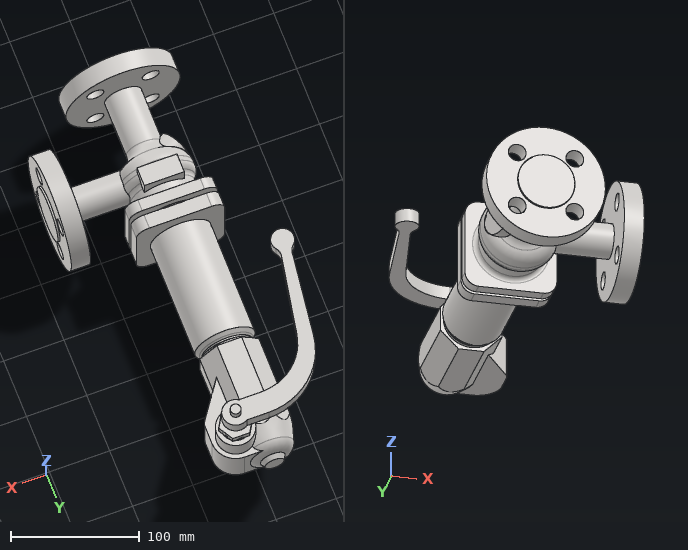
import cadquery as cq
import math


FLANGE_RADIUS = 47.5
FLANGE_THICKNESS = 16.0
FACE_RADIUS = 22.7
FACE_HEIGHT = 1.7
BOLT_CIRCLE_RADIUS = 32.5
BOLT_HOLE_DIAMETER = 14.0
BOLT_COUNT = 4

INLET_PIPE_RADIUS = 15.5
OUTLET_PIPE_RADIUS = 14.0
OUTLET_REACH = 90.0
OUTLET_Y = OUTLET_REACH
BULGE_RADIUS = 31.5
BULGE_LOWER_Y = 89.7
BULGE_UPPER_Y = 94.0
BULGE_ROUND = 14.5
FLARE_ROUND = 12.2
SHOULDER_SHARE = 0.6
THROAT_RADIUS = 27.0
THROAT_LOWER_Y = 104.5
THROAT_UPPER_Y = 114.0
COLLAR_RADIUS = 30.7

SQUARE_SIDE = 73.3
SQUARE_CORNER = 10.8
BODY_SQUARE_Y = 118.0
BODY_SQUARE_THICKNESS = 9.8
LOWER_GASKET_RADIUS = 29.5
UPPER_GASKET_RADIUS = 31.5
GASKET_THICKNESS = 1.92
BONNET_SQUARE_THICKNESS = 12.0

TUBE_RADIUS = 25.0
TUBE_CHAMFER_Y = 240.5
TUBE_TOP_Y = 243.5
NECK_RADIUS = 22.5
GROOVE_RADIUS = 21.0
GROOVE_LOWER_Y = 245.0
GROOVE_UPPER_Y = 247.0

CAP_Y = 250.0
CAP_ACROSS_FLATS = 49.2
CAP_SIDES = 8
CONE_BASE_RADIUS = 28.0
CONE_BASE_Y = 312.7
CONE_TOP_RADIUS = 20.5
CONE_TOP_Y = 337.0
DOME_Y = 344.8
TIP_TOP_RADIUS = 8.0
TOTAL_LENGTH = 349.0

SHAFT_X = 22.5
SHAFT_Y = 322.5
BRACKET_ROUND = 19.5
BRACKET_HALF_HEIGHT = 16.0
BRACKET_SIDE_Y = 304.5
BRACKET_FOOT_X = 18.5
BRACKET_FOOT_Y = 270.8
BRACKET_BEND = 10.5
BOSS_RADIUS = 15.7
BOSS_TOP_Z = 32.8
GLAND_RADIUS = 11.5
NUT_BOTTOM_Z = 36.5
NUT_TOP_Z = 42.2
NUT_ACROSS_FLATS = 24.5
NUT_SIDES = 6
SHAFT_RADIUS = 4.2
SHAFT_TOP_Z = 68.0

LEVER_BOTTOM_Z = 50.3
LEVER_THICKNESS = 11.0
LEVER_HUB_RADIUS = 10.8
LEVER_BAR_WIDTH = 18.0
LEVER_BEND_X = -1.7
LEVER_OUTER_BEND = 56.2
LEVER_INNER_BEND = 44.5
LEVER_OUTER_ANGLE = 7.5
LEVER_INNER_ANGLE = 10.5
KNOB_X = -63.5
KNOB_Y = 199.0
KNOB_RADIUS = 9.5
KNOB_BLEND = 9.0

DRAIN_RADIUS = 13.5
DRAIN_TILT = 30.0
DRAIN_END_X = -23.0
DRAIN_END_Y = 71.0
PLATE_WIDTH = 33.0
PLATE_LOWER_Y = 91.8
PLATE_UPPER_Y = 108.0
PLATE_BOTTOM_Z = 20.0
PLATE_TOP_Z = 35.0


def disc(radius, start_y, end_y):
    """Cylinder on the valve axis between two Y positions."""
    return cq.Workplane("XZ", origin=(0, start_y, 0)).circle(radius).extrude(start_y - end_y)


def pillar(radius, bottom_z, top_z):
    """Cylinder on the lever shaft axis between two heights."""
    base = cq.Workplane("XY", origin=(SHAFT_X, SHAFT_Y, bottom_z))
    return base.circle(radius).extrude(top_z - bottom_z)


def pipe_flange(face_center, inward):
    """Raised-face flange whose sealing face is at face_center, growing along inward."""
    face = cq.Workplane(cq.Plane(origin=face_center, xDir=(0, 0, 1), normal=inward))
    back = face.workplane(offset=FACE_HEIGHT)
    plate = back.circle(FLANGE_RADIUS).extrude(FLANGE_THICKNESS)
    holes = (
        back.polarArray(BOLT_CIRCLE_RADIUS, 180 / BOLT_COUNT, 360, BOLT_COUNT)
        .circle(BOLT_HOLE_DIAMETER / 2)
        .extrude(FLANGE_THICKNESS)
    )
    return plate.cut(holes).union(face.circle(FACE_RADIUS).extrude(FACE_HEIGHT))


def turned_body():
    """Inlet pipe, bulged chamber and throat, turned about the valve axis."""
    bulge_center_x = BULGE_RADIUS - BULGE_ROUND
    flare_center_x = INLET_PIPE_RADIUS + FLARE_ROUND
    center_gap = BULGE_ROUND + FLARE_ROUND
    center_dx = flare_center_x - bulge_center_x
    center_dy = math.sqrt(center_gap**2 - center_dx**2)
    flare_y = BULGE_LOWER_Y - center_dy
    share = BULGE_ROUND / center_gap
    meet = (bulge_center_x + share * center_dx, BULGE_LOWER_Y - share * center_dy)
    shoulder = (
        BULGE_RADIUS + SHOULDER_SHARE * (THROAT_RADIUS - BULGE_RADIUS),
        BULGE_UPPER_Y + SHOULDER_SHARE * (THROAT_LOWER_Y - BULGE_UPPER_Y),
    )
    profile = (
        cq.Workplane("XY")
        .moveTo(0, FACE_HEIGHT)
        .lineTo(INLET_PIPE_RADIUS, FACE_HEIGHT)
        .lineTo(INLET_PIPE_RADIUS, flare_y)
        .tangentArcPoint(meet, relative=False)
        .tangentArcPoint((BULGE_RADIUS, BULGE_LOWER_Y), relative=False)
        .lineTo(BULGE_RADIUS, BULGE_UPPER_Y)
        .tangentArcPoint(shoulder, relative=False)
        .tangentArcPoint((THROAT_RADIUS, THROAT_LOWER_Y), relative=False)
        .lineTo(THROAT_RADIUS, THROAT_UPPER_Y)
        .tangentArcPoint((COLLAR_RADIUS, BODY_SQUARE_Y), relative=False)
        .lineTo(0, BODY_SQUARE_Y)
        .close()
    )
    return profile.revolve(360, (0, 0), (0, 1))


def outlet():
    """Side pipe and flange along +X."""
    pipe_length = OUTLET_REACH - FACE_HEIGHT
    pipe = cq.Workplane("YZ", origin=(0, OUTLET_Y, 0)).circle(OUTLET_PIPE_RADIUS).extrude(pipe_length)
    return pipe.union(pipe_flange((OUTLET_REACH, OUTLET_Y, 0), (-1, 0, 0)))


def drain_boss():
    """Tilted plain boss on the lower -X side of the bulge, ending on the valve axis."""
    tilt = math.radians(DRAIN_TILT)
    inward = (math.cos(tilt), math.sin(tilt), 0)
    end = cq.Plane(origin=(DRAIN_END_X, DRAIN_END_Y, 0), xDir=(0, 0, 1), normal=inward)
    return cq.Workplane(end).circle(DRAIN_RADIUS).extrude(-DRAIN_END_X / math.cos(tilt))


def name_plate():
    """Raised rectangular pad on top of the body."""
    corner = (-PLATE_WIDTH / 2, PLATE_LOWER_Y, PLATE_BOTTOM_Z)
    plate_length = PLATE_UPPER_Y - PLATE_LOWER_Y
    plate_height = PLATE_TOP_Z - PLATE_BOTTOM_Z
    return cq.Workplane("XY", origin=corner).box(PLATE_WIDTH, plate_length, plate_height, centered=False)


def square_flange(start_y, thickness):
    """Square clamp plate with rounded corners."""
    plate = cq.Workplane("XZ", origin=(0, start_y, 0)).rect(SQUARE_SIDE, SQUARE_SIDE).extrude(-thickness)
    return plate.edges("|Y").fillet(SQUARE_CORNER)


def bonnet(start_y):
    """Tube with a chamfered end and the grooved neck that carries the cap."""
    profile = cq.Workplane("XY").polyline(
        [
            (0, start_y),
            (TUBE_RADIUS, start_y),
            (TUBE_RADIUS, TUBE_CHAMFER_Y),
            (NECK_RADIUS, TUBE_TOP_Y),
            (GROOVE_RADIUS, GROOVE_LOWER_Y),
            (GROOVE_RADIUS, GROOVE_UPPER_Y),
            (NECK_RADIUS, GROOVE_UPPER_Y),
            (NECK_RADIUS, CAP_Y),
            (0, CAP_Y),
        ]
    )
    return profile.close().revolve(360, (0, 0), (0, 1))


def cap():
    """Octagonal bar turned to a coned dome with a small tip."""
    prism = (
        cq.Workplane("XZ", origin=(0, CAP_Y, 0))
        .polygon(CAP_SIDES, CAP_ACROSS_FLATS, circumscribed=True)
        .extrude(CAP_Y - TOTAL_LENGTH)
    )
    cone_angle = math.atan2(CONE_BASE_RADIUS - CONE_TOP_RADIUS, CONE_TOP_Y - CONE_BASE_Y)
    dome_round = (DOME_Y - CONE_TOP_Y) / (1 - math.sin(cone_angle))
    tip_base_radius = CONE_TOP_RADIUS - dome_round * math.cos(cone_angle)
    dome = (
        cq.Workplane("XY")
        .moveTo(0, CAP_Y)
        .lineTo(CONE_BASE_RADIUS, CAP_Y)
        .lineTo(CONE_BASE_RADIUS, CONE_BASE_Y)
        .lineTo(CONE_TOP_RADIUS, CONE_TOP_Y)
        .tangentArcPoint((tip_base_radius, DOME_Y), relative=False)
        .lineTo(TIP_TOP_RADIUS, TOTAL_LENGTH)
        .lineTo(0, TOTAL_LENGTH)
        .close()
        .revolve(360, (0, 0), (0, 1))
    )
    return prism.intersect(dome)


def bracket():
    """Flat housing beside the cap, rounded about the lever shaft."""
    side_x = SHAFT_X + BRACKET_ROUND
    plate = (
        cq.Workplane("XY", origin=(0, 0, -BRACKET_HALF_HEIGHT))
        .moveTo(0, SHAFT_Y + BRACKET_ROUND)
        .lineTo(SHAFT_X, SHAFT_Y + BRACKET_ROUND)
        .tangentArcPoint((side_x, SHAFT_Y), relative=False)
        .lineTo(side_x, BRACKET_SIDE_Y)
        .lineTo(BRACKET_FOOT_X, BRACKET_FOOT_Y)
        .lineTo(0, BRACKET_FOOT_Y)
        .close()
        .extrude(2 * BRACKET_HALF_HEIGHT)
    )
    bend = cq.selectors.NearestToPointSelector((side_x, BRACKET_SIDE_Y, 0))
    return plate.edges("|Z").edges(bend).fillet(BRACKET_BEND)


def lever_shaft():
    """Boss, gland, hexagon nut and shaft stacked above the bracket."""
    nut = (
        cq.Workplane("XY", origin=(SHAFT_X, SHAFT_Y, NUT_BOTTOM_Z))
        .transformed(rotate=(0, 0, 180 / NUT_SIDES))
        .polygon(NUT_SIDES, NUT_ACROSS_FLATS, circumscribed=True)
        .extrude(NUT_TOP_Z - NUT_BOTTOM_Z)
    )
    return (
        pillar(BOSS_RADIUS, 0, BOSS_TOP_Z)
        .union(pillar(GLAND_RADIUS, BOSS_TOP_Z, NUT_BOTTOM_Z))
        .union(nut)
        .union(pillar(SHAFT_RADIUS, NUT_TOP_Z, SHAFT_TOP_Z))
    )


def bend_point(bend_radius, crown_y, angle):
    """Point on a lever bend, measured in degrees up from its -X side."""
    turn = math.radians(angle)
    return (
        LEVER_BEND_X - bend_radius * math.cos(turn),
        crown_y - bend_radius + bend_radius * math.sin(turn),
    )


def knob_level_point(start, angle):
    """Point where a bar side leaving start, tilted angle degrees from -Y, meets the knob center line."""
    return (start[0] - math.tan(math.radians(angle)) * (start[1] - KNOB_Y), KNOB_Y)


def lever():
    """Curved handle with a hub on the shaft and a round knob at the free end."""
    top_y = SHAFT_Y + LEVER_BAR_WIDTH / 2
    low_y = SHAFT_Y - LEVER_BAR_WIDTH / 2
    outer_end = bend_point(LEVER_OUTER_BEND, top_y, LEVER_OUTER_ANGLE)
    inner_end = bend_point(LEVER_INNER_BEND, low_y, LEVER_INNER_ANGLE)

    plane = cq.Workplane("XY", origin=(0, 0, LEVER_BOTTOM_Z))
    bar = (
        plane.moveTo(SHAFT_X, top_y)
        .lineTo(LEVER_BEND_X, top_y)
        .tangentArcPoint(outer_end, relative=False)
        .lineTo(*knob_level_point(outer_end, LEVER_OUTER_ANGLE))
        .lineTo(*knob_level_point(inner_end, LEVER_INNER_ANGLE))
        .lineTo(*inner_end)
        .tangentArcPoint((LEVER_BEND_X, low_y), relative=False)
        .lineTo(SHAFT_X, low_y)
        .close()
        .extrude(LEVER_THICKNESS)
    )
    knob = plane.center(KNOB_X, KNOB_Y).circle(KNOB_RADIUS).extrude(LEVER_THICKNESS)
    handle = bar.union(knob)
    around_knob = cq.selectors.BoxSelector(
        (KNOB_X - KNOB_RADIUS, KNOB_Y, LEVER_BOTTOM_Z),
        (KNOB_X + KNOB_RADIUS, KNOB_Y + KNOB_RADIUS, LEVER_BOTTOM_Z + LEVER_THICKNESS),
    )
    handle = handle.edges("|Z").edges(around_knob).fillet(KNOB_BLEND)
    return handle.union(pillar(LEVER_HUB_RADIUS, LEVER_BOTTOM_Z, LEVER_BOTTOM_Z + LEVER_THICKNESS))


lower_gasket_y = BODY_SQUARE_Y + BODY_SQUARE_THICKNESS
upper_gasket_y = lower_gasket_y + GASKET_THICKNESS
bonnet_square_y = upper_gasket_y + GASKET_THICKNESS

result = (
    turned_body()
    .union(pipe_flange((0, 0, 0), (0, 1, 0)))
    .union(outlet())
    .union(drain_boss())
    .union(name_plate())
    .union(square_flange(BODY_SQUARE_Y, BODY_SQUARE_THICKNESS))
    .union(disc(LOWER_GASKET_RADIUS, lower_gasket_y, upper_gasket_y))
    .union(disc(UPPER_GASKET_RADIUS, upper_gasket_y, bonnet_square_y))
    .union(square_flange(bonnet_square_y, BONNET_SQUARE_THICKNESS))
    .union(bonnet(bonnet_square_y))
    .union(cap())
    .union(bracket())
    .union(lever_shaft())
    .union(lever())
)